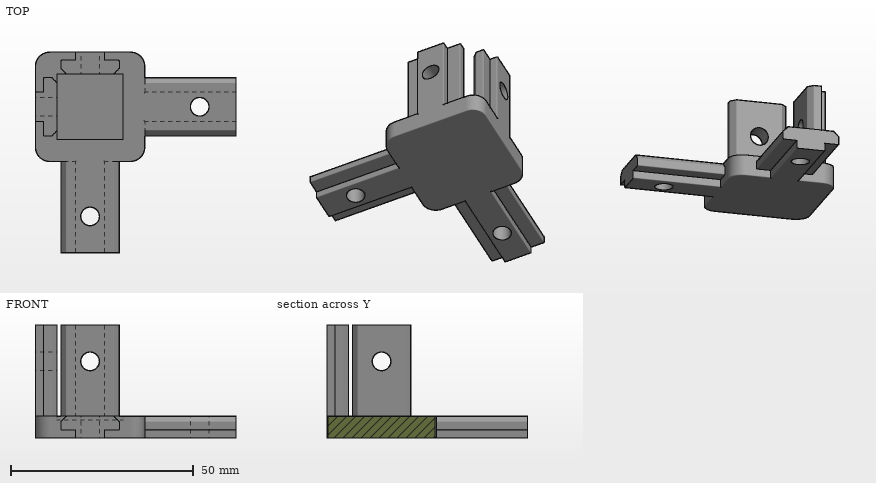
import cadquery as cq


plate_side = 30.0
plate_thickness = 6.0
plate_corner_radius = 4.0
pocket_depth = 1.0

arm_length = 25.0
arm_depth = plate_thickness
flange_width = 16.0
stem_width = 8.0
stem_depth = 2.25
flange_chamfer = 1.5

hole_diameter = 5.04
hole_distance = 15.0

edge_radius = 0.25

root_length = 2 * edge_radius

full_length = root_length + arm_length
half_side = plate_side / 2
pocket_side = plate_side - 2 * arm_depth


def make_plate():
    """Rounded square plate with a shallow square pocket in its top face."""
    plate = (
        cq.Workplane("XY")
        .rect(plate_side, plate_side)
        .extrude(plate_thickness)
        .edges("|Z")
        .fillet(plate_corner_radius)
        .faces("<Z")
        .edges()
        .fillet(edge_radius)
    )
    pocket = (
        cq.Workplane("XY")
        .workplane(offset=plate_thickness - pocket_depth)
        .rect(pocket_side, pocket_side)
        .extrude(pocket_depth)
    )
    return plate.cut(pocket)


def make_arm():
    """Arm along +X, stem down on Z = 0, drilled through in Z; its root lies at negative X."""
    flange = (
        cq.Workplane("XY")
        .box(full_length, flange_width, arm_depth - stem_depth, centered=(False, True, False))
        .translate((-root_length, 0, stem_depth))
        .edges("|X and >Z")
        .chamfer(flange_chamfer)
        .edges("|X")
        .fillet(edge_radius)
    )
    stem = (
        cq.Workplane("XY")
        .box(full_length, stem_width, arm_depth, centered=(False, True, False))
        .translate((-root_length, 0, 0))
        .edges("|X and <Z")
        .fillet(edge_radius)
    )
    hole = (
        cq.Workplane("XY")
        .center(hole_distance, 0)
        .circle(hole_diameter / 2)
        .extrude(arm_depth)
    )
    return flange.union(stem).cut(hole)


def turn_about_z(body, angle):
    return body.rotate((0, 0, 0), (0, 0, 1), angle)


flat_arm = make_arm().translate((half_side, 0, 0))
upright_arm = (
    make_arm()
    .rotate((0, 0, 0), (0, 1, 0), -90)
    .mirror("YZ")
    .translate((-half_side, 0, plate_thickness))
)

result = make_plate()
for arm in (flat_arm, upright_arm):
    for angle in (0, -90):
        result = result.union(turn_about_z(arm, angle))